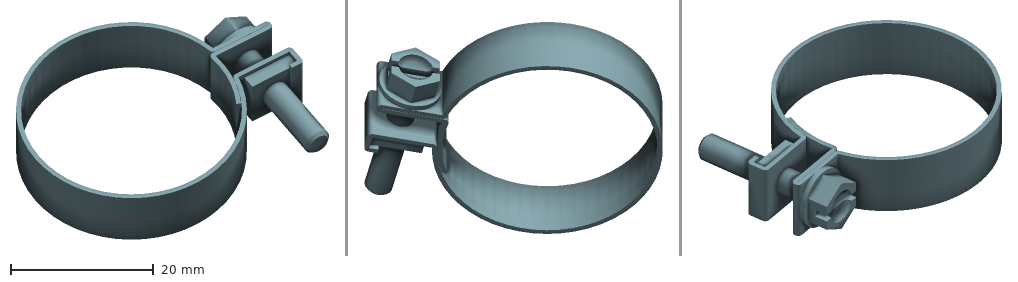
import cadquery as cq
import math


band_width = 9.0
band_thickness = 0.7
ring_outer_radius = 16.2
ring_inner_radius = ring_outer_radius - band_thickness
band_top = 25.1
ear_half_span = 3.2
slit = 0.05
bend_radius = 0.65
hook_end = 23.08
tongue_outer_radius = ring_inner_radius - slit
tongue_inner_radius = tongue_outer_radius - band_thickness
tongue_end_angle = 61

flange_diameter = band_width
flange_thickness = 0.83
head_width = 6.98
head_height = 3.2
shank_diameter = 4.0
shank_tip = 16.5
tip_chamfer = 0.5
slot_width = 1.1
slot_depth = 2.05
recess_diameter = 5.0
recess_depth = 1.0
recess_floor_diameter = 3.4
screw_y = band_top - flange_diameter / 2

nut_size = 7.5
nut_thickness = 2.02

left_outer = -ear_half_span
left_inner = left_outer + band_thickness
fold_near = left_inner + slit
fold_far = fold_near + band_thickness
right_outer = ear_half_span
right_inner = right_outer - band_thickness
hook_inner = right_outer + nut_thickness
hook_outer = hook_inner + band_thickness
cap_bottom = band_top - band_thickness


def point_on_circle(radius, degrees):
    angle = math.radians(degrees)
    return (radius * math.cos(angle), radius * math.sin(angle))


def circle_height(radius, x):
    """Y of the upper half of a circle about the origin, at the given x."""
    return math.sqrt(radius**2 - x**2)


def x_bore():
    """Bore of the shank diameter along the screw axis, longer than the clamp is wide."""
    length = 4 * hook_outer
    return (
        cq.Workplane("YZ", origin=(-length / 2, screw_y, 0))
        .circle(shank_diameter / 2)
        .extrude(length)
    )


def make_band():
    tongue_inner_height = circle_height(tongue_inner_radius, fold_near)
    outline = (
        cq.Workplane("XY", origin=(0, 0, -band_width / 2))
        .moveTo(right_outer, circle_height(ring_outer_radius, right_outer))
        .threePointArc((0, -ring_outer_radius), (left_outer, circle_height(ring_outer_radius, left_outer)))
        .lineTo(left_outer, band_top)
        .lineTo(fold_far, band_top)
        .lineTo(fold_far, circle_height(tongue_outer_radius, fold_far))
        .threePointArc((0, tongue_outer_radius), point_on_circle(tongue_outer_radius, tongue_end_angle))
        .lineTo(*point_on_circle(tongue_inner_radius, tongue_end_angle))
        .threePointArc((0, tongue_inner_radius), (fold_near, tongue_inner_height))
        .lineTo(fold_near, cap_bottom)
        .lineTo(left_inner, cap_bottom)
        .lineTo(left_inner, circle_height(ring_inner_radius, left_inner))
        .threePointArc((0, -ring_inner_radius), (right_inner, circle_height(ring_inner_radius, right_inner)))
        .lineTo(right_inner, band_top)
        .lineTo(hook_outer, band_top)
        .lineTo(hook_outer, hook_end)
        .lineTo(hook_inner, hook_end)
        .lineTo(hook_inner, cap_bottom)
        .lineTo(right_outer, cap_bottom)
        .close()
    )
    bends = [
        (left_outer, band_top),
        (fold_far, band_top),
        (right_inner, band_top),
        (hook_outer, band_top),
        (fold_near, tongue_inner_height),
        (left_inner, circle_height(ring_inner_radius, left_inner)),
        (right_inner, circle_height(ring_inner_radius, right_inner)),
    ]
    band = outline.extrude(band_width)
    for x, y in bends:
        corner = cq.selectors.NearestToPointSelector((x, y, 0))
        band = band.edges("|Z").edges(corner).fillet(bend_radius)
    return band.cut(x_bore())


def make_recess(head_face):
    """Round dish in the head: a short straight wall, a hollow corner and a flat floor."""
    hollow_radius = (recess_diameter - recess_floor_diameter) / 2
    return (
        cq.Workplane("YZ", origin=(head_face, screw_y, 0))
        .circle(recess_diameter / 2)
        .extrude(recess_depth)
        .faces(">X")
        .edges()
        .fillet(hollow_radius)
    )


def make_screw():
    flange_face = left_outer - flange_thickness
    head_face = flange_face - head_height
    corner_turn = 30

    head_plane = cq.Workplane("YZ", origin=(head_face, screw_y, 0))
    head = (
        head_plane.polygon(6, head_width / math.cos(math.pi / 6))
        .extrude(head_height)
        .rotate((0, screw_y, 0), (1, screw_y, 0), corner_turn)
    )
    flange = (
        cq.Workplane("YZ", origin=(flange_face, screw_y, 0))
        .circle(flange_diameter / 2)
        .extrude(flange_thickness)
    )
    shank = (
        cq.Workplane("YZ", origin=(left_outer, screw_y, 0))
        .circle(shank_diameter / 2)
        .extrude(shank_tip - left_outer)
        .faces(">X")
        .chamfer(tip_chamfer)
    )
    slot = head_plane.rect(2 * head_width, slot_width).extrude(slot_depth)
    return head.union(flange).union(shank).cut(make_recess(head_face)).cut(slot)


def make_nut():
    plate = (
        cq.Workplane("YZ", origin=(right_outer, screw_y, 0))
        .rect(nut_size, nut_size)
        .extrude(nut_thickness)
    )
    return plate.cut(x_bore())


band = make_band()
screw = make_screw()
nut = make_nut()

result = cq.Compound.makeCompound([band.val(), screw.val(), nut.val()])